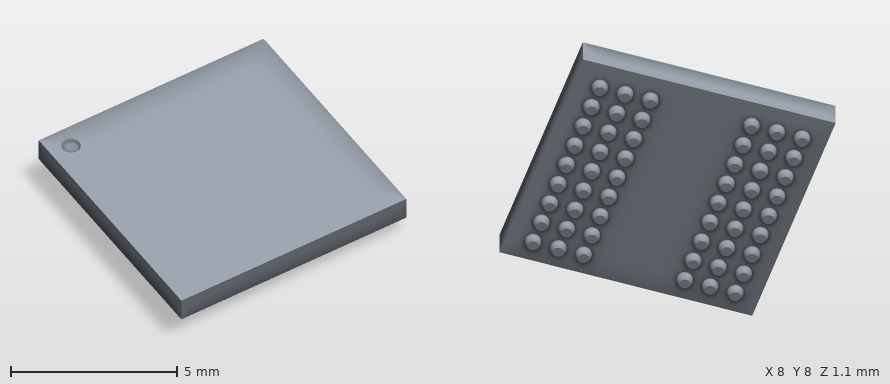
import cadquery as cq
import math

BODY_SIDE = 8.0
BODY_THICKNESS = 0.8

BALL_PITCH = 0.8
BALL_DIAMETER = 0.5
BALL_CENTER_DROP = 0.12
BALL_STANDOFF = 0.3
BALL_COLUMNS = range(-4, 5)
BALL_ROWS = (-4, -3, -2, 2, 3, 4)

MARK_TOP_DIAMETER = 0.6
MARK_FLOOR_DIAMETER = 0.48
MARK_DEPTH = 0.09
MARK_EDGE_GAP = 0.4


def make_body():
    return cq.Workplane("XY").box(BODY_SIDE, BODY_SIDE, BODY_THICKNESS, centered=(True, True, False))


def make_ball():
    """One ball on the Z axis, cut flat where it meets the body and at its foot."""
    radius = BALL_DIAMETER / 2
    top_radius = math.sqrt(radius**2 - BALL_CENTER_DROP**2)
    foot_radius = math.sqrt(radius**2 - (BALL_STANDOFF - BALL_CENTER_DROP) ** 2)
    return (
        cq.Workplane("XZ")
        .moveTo(0, 0)
        .lineTo(top_radius, 0)
        .threePointArc((radius, -BALL_CENTER_DROP), (foot_radius, -BALL_STANDOFF))
        .lineTo(0, -BALL_STANDOFF)
        .close()
        .revolve(360, (0, 0, 0), (0, 1, 0))
    )


def make_ball_grid():
    """Full rows of balls along X, with the middle rows left out."""
    centers = [(column * BALL_PITCH, row * BALL_PITCH) for column in BALL_COLUMNS for row in BALL_ROWS]
    ball = make_ball().val()
    return cq.Workplane("XY").pushPoints(centers).eachpoint(lambda place: ball.moved(place))


def make_mark():
    """Tapered cutter for the dimple near the -X, -Y corner."""
    center = -BODY_SIDE / 2 + MARK_EDGE_GAP + MARK_TOP_DIAMETER / 2
    return (
        cq.Workplane("XY", origin=(center, center, BODY_THICKNESS))
        .circle(MARK_TOP_DIAMETER / 2)
        .workplane(offset=-MARK_DEPTH)
        .circle(MARK_FLOOR_DIAMETER / 2)
        .loft(combine=True)
    )


result = make_body().cut(make_mark()).union(make_ball_grid())